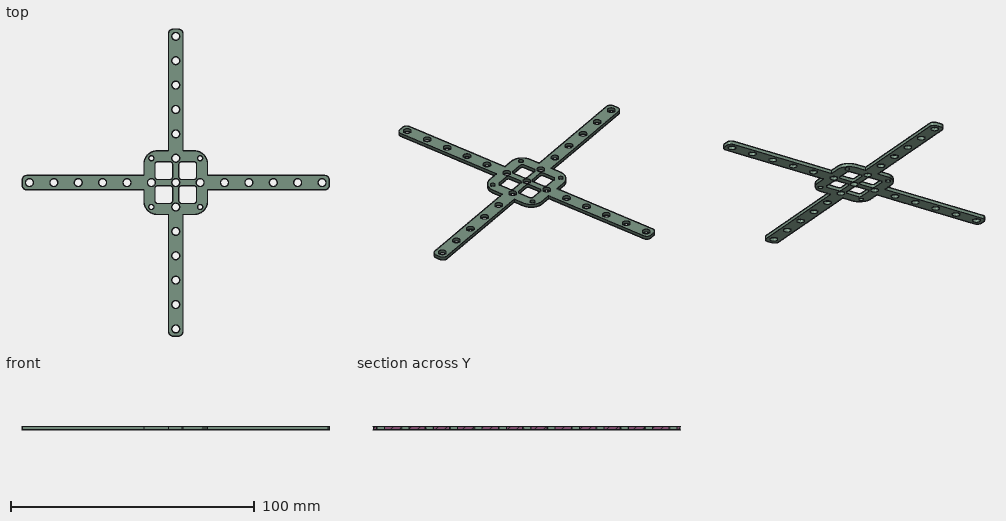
import cadquery as cq

span = 126.0
thickness = 1.5
arm_width = 6.0
arm_corner_radius = 2.0

plate_side = 26.2
plate_corner_radius = 5.5

holes_per_arm = 6
end_margin = 3.0
pitch = (span / 2 - end_margin) / holes_per_arm
hole_diameter = 3.2
corner_hole_diameter = 2.0

web_width = 2.6
window_side = 7.2
window_corner_radius = 1.0
window_offset = (web_width + window_side) / 2


def rounded_bar(length, width, corner_radius):
    """Flat bar centred on the origin, with rounded vertical edges."""
    bar = cq.Workplane("XY").box(length, width, thickness)
    return bar.edges("|Z").fillet(corner_radius)


def through_holes(points, diameter):
    """Cylinders that cut through the full thickness at the given points."""
    return (
        cq.Workplane("XY")
        .pushPoints(points)
        .circle(diameter / 2)
        .extrude(thickness, both=True)
    )


def square_pattern(offset):
    """Four points at the corners of a square centred on the origin."""
    return [(x, y) for x in (-offset, offset) for y in (-offset, offset)]


arm_x = rounded_bar(span, arm_width, arm_corner_radius)
arm_y = rounded_bar(arm_width, span, arm_corner_radius)
plate = rounded_bar(plate_side, plate_side, plate_corner_radius)
body = plate.union(arm_x).union(arm_y)

window = rounded_bar(window_side, window_side, window_corner_radius)
for x, y in square_pattern(window_offset):
    body = body.cut(window.translate((x, y, 0)))

steps = range(-holes_per_arm, holes_per_arm + 1)
row_x = [(i * pitch, 0) for i in steps]
row_y = [(0, i * pitch) for i in steps if i != 0]
body = body.cut(through_holes(row_x + row_y, hole_diameter))

body = body.cut(through_holes(square_pattern(pitch), corner_hole_diameter))

result = body